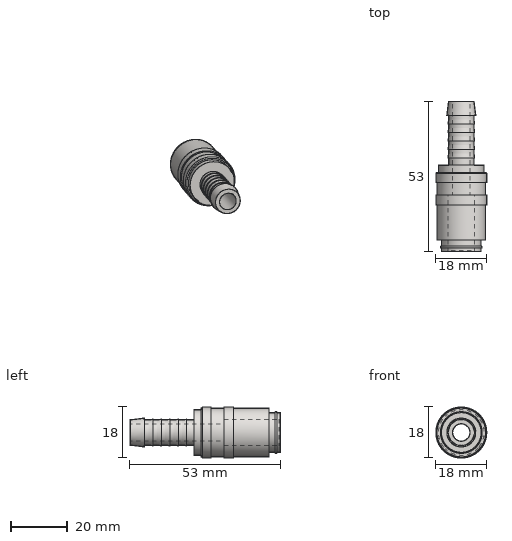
import cadquery as cq

total_length = 53.0

nose_radius = 7.0
nose_length = 4.05
ring_center_y = 1.6
ring_radius = 0.35

sleeve_radius = 8.6
collar_radius = 9.0
front_collar_start = 16.5
front_collar_end = 20.0
rear_collar_start = 24.45
sleeve_end = 28.0
collar_chamfer = collar_radius - sleeve_radius
shoulder_radius = 8.05
shoulder_end = 30.55

stem_radius = 4.5
ridge_radius = 4.7
ridge_count = 5
ridge_pitch = 2.95
ridge_taper_length = 1.55
first_ridge_y = 33.05
barb_radius = 5.15
barb_length = 5.0

socket_radius = 4.6
socket_depth = front_collar_end
socket_chamfer = 0.5
passage_radius = 3.0


def cylinder(radius, start, end):
    """Solid cylinder along +Y between two stations."""
    plane = cq.Workplane("XZ", origin=(0, start, 0))
    return plane.circle(radius).extrude(start - end)


def cone(start_radius, end_radius, start, end):
    """Solid truncated cone along +Y between two stations."""
    profile = cq.Workplane("XY").polyline(
        [(0, start), (start_radius, start), (end_radius, end), (0, end)]
    ).close()
    return profile.revolve(360, (0, 0, 0), (0, 1, 0))


def make_nose():
    ring = (
        cq.Workplane("XY")
        .center(nose_radius, ring_center_y)
        .circle(ring_radius)
        .revolve(360, (-nose_radius, 0, 0), (-nose_radius, 1, 0))
    )
    return cylinder(nose_radius, 0, nose_length).union(ring)


def make_sleeve():
    front_collar = cylinder(collar_radius, front_collar_start, front_collar_end)
    rear_collar = cylinder(collar_radius, rear_collar_start, sleeve_end)
    rear_collar = rear_collar.faces(">Y").chamfer(collar_chamfer)
    return (
        cylinder(sleeve_radius, nose_length, sleeve_end)
        .union(front_collar)
        .union(rear_collar)
        .union(cylinder(shoulder_radius, sleeve_end, shoulder_end))
    )


def make_stem():
    stem = cylinder(stem_radius, shoulder_end, total_length)
    for index in range(ridge_count):
        start = first_ridge_y + index * ridge_pitch
        stem = stem.union(cone(ridge_radius, stem_radius, start, start + ridge_taper_length))
    return stem.union(cone(barb_radius, stem_radius, total_length - barb_length, total_length))


def make_bore():
    entry = cone(socket_radius + socket_chamfer, socket_radius, 0, socket_chamfer)
    return (
        cylinder(passage_radius, 0, total_length)
        .union(cylinder(socket_radius, 0, socket_depth))
        .union(entry)
    )


result = make_nose().union(make_sleeve()).union(make_stem()).cut(make_bore())